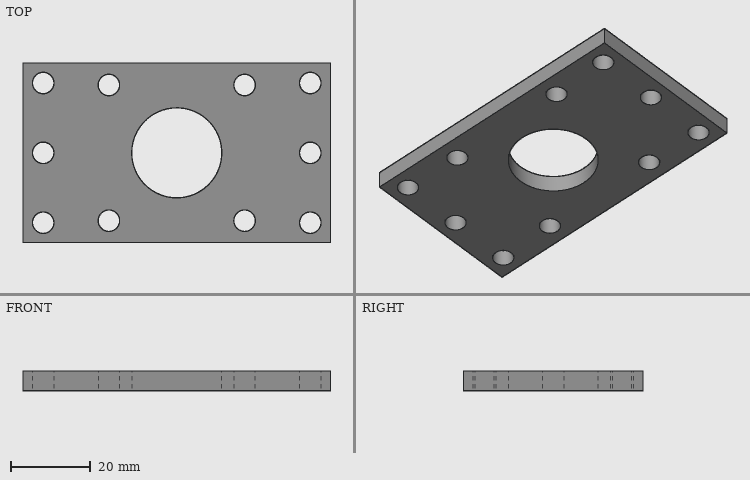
import cadquery as cq

length = 77.0
width = 45.0
thickness = 5.0

bore_diameter = 22.5
bolt_diameter = 5.3
inner_bolt_spacing = 33.95
end_column_spacing = 66.8
end_row_pitch = 17.5

plate = cq.Workplane("XY").box(length, width, thickness)


def drill(body, diameter, columns, column_spacing, rows, row_spacing):
    """Drill a centred rectangular pattern of through holes."""
    return (
        body.faces(">Z")
        .workplane(origin=(0, 0, 0))
        .rarray(column_spacing, row_spacing, columns, rows)
        .hole(diameter)
    )


bored = plate.faces(">Z").workplane(origin=(0, 0, 0)).hole(bore_diameter)
inner_drilled = drill(bored, bolt_diameter, 2, inner_bolt_spacing, 2, inner_bolt_spacing)
result = drill(inner_drilled, bolt_diameter, 2, end_column_spacing, 3, end_row_pitch)